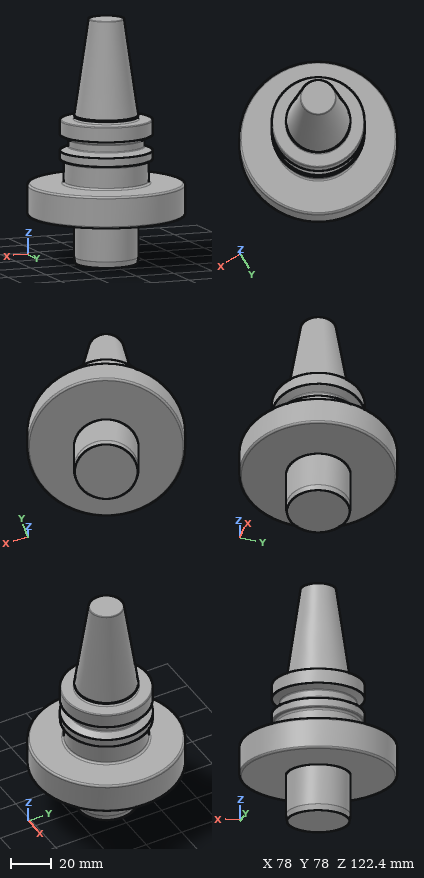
import cadquery as cq
import math


gauge_radius = 31.75 / 2
taper_length = 48.4
taper_ratio = 7 / 24
taper_end_radius = gauge_radius - taper_length * taper_ratio / 2
taper_end_round = 0.4

relief_radius = 15.5
relief_slope = 0.8
relief_fillet = 0.8

flange_radius = 45.98 / 2
flange_top = 2.0
flange_bottom = 22.1
flange_round = 0.5
groove_floor_radius = 37.75 / 2
groove_center = 13.6
groove_width = 8.0
groove_wall_angle = 27
groove_round = 0.5

neck_radius = 21.0
neck_fillet = 1.0

disc_radius = 39.0
disc_top = 34.0
disc_bottom = 50.0
disc_round = 1.0

spigot_radius = 16.0
spigot_bottom = 74.0
lead_in_length = 3.2
lead_in_depth = 0.55


def turn(points):
    """Revolve an (r, z) outline, closed along the axis, about Z."""
    return cq.Workplane("XZ").polyline(points).close().revolve(360, (0, 0, 0), (0, 1, 0))


def round_circles(body, circles, radius):
    """Fillet the largest circular edge at each given (r, z) corner."""
    margin = 0.01
    for r, z in circles:
        reach = r + margin
        low_corner = (-reach, -reach, z - margin)
        high_corner = (reach, reach, z + margin)
        within_reach = cq.selectors.BoxSelector(low_corner, high_corner, boundingbox=True)
        largest = cq.selectors.RadiusNthSelector(-1)
        body = body.edges(within_reach).edges(largest).fillet(radius)
    return body


def make_taper():
    end_rim = (taper_end_radius, taper_length)
    taper = turn(
        [
            (0, taper_length),
            end_rim,
            (gauge_radius, 0),
            (relief_radius, -relief_slope),
            (relief_radius, -flange_top),
            (0, -flange_top),
        ]
    )
    return round_circles(taper, [end_rim], taper_end_round)


def make_flange():
    wall_height = (flange_radius - groove_floor_radius) * math.tan(math.radians(groove_wall_angle))
    groove_top = groove_center - groove_width / 2
    groove_bottom = groove_center + groove_width / 2
    floor_corners = [
        (groove_floor_radius, -groove_top - wall_height),
        (groove_floor_radius, -groove_bottom + wall_height),
    ]
    rims = [(flange_radius, -flange_top), (flange_radius, -flange_bottom)]
    flange = turn(
        [
            (0, -flange_top),
            rims[0],
            (flange_radius, -groove_top),
            *floor_corners,
            (flange_radius, -groove_bottom),
            rims[1],
            (0, -flange_bottom),
        ]
    )
    flange = round_circles(flange, floor_corners, groove_round)
    return round_circles(flange, rims, flange_round)


def make_neck():
    return turn(
        [
            (0, -flange_bottom),
            (neck_radius, -flange_bottom),
            (neck_radius, -disc_top),
            (0, -disc_top),
        ]
    )


def make_disc():
    rims = [(disc_radius, -disc_top), (disc_radius, -disc_bottom)]
    disc = turn([(0, -disc_top), *rims, (0, -disc_bottom)])
    return round_circles(disc, rims, disc_round)


def make_spigot():
    return turn(
        [
            (0, -disc_bottom),
            (spigot_radius, -disc_bottom),
            (spigot_radius, -spigot_bottom + lead_in_length),
            (spigot_radius - lead_in_depth, -spigot_bottom),
            (0, -spigot_bottom),
        ]
    )


def make_holder():
    holder = make_taper()
    for section in (make_flange(), make_neck(), make_disc(), make_spigot()):
        holder = holder.union(section)
    neck_corners = [(neck_radius, -flange_bottom), (neck_radius, -disc_top)]
    holder = round_circles(holder, neck_corners, neck_fillet)
    return round_circles(holder, [(relief_radius, -flange_top)], relief_fillet)


result = make_holder()